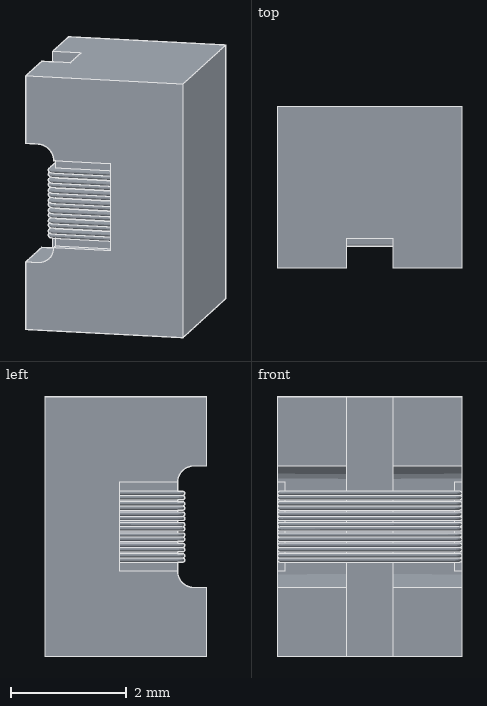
import cadquery as cq

WIDTH = 3.2
DEPTH = 2.8
HEIGHT = 4.5

RECESS_HEIGHT = 2.1
RECESS_DEPTH = 0.5
RECESS_RADIUS = 0.28

SLOT_WIDTH = 0.8
SLOT_DEPTH = 0.51

WINDOW_HEIGHT = RECESS_HEIGHT - 2 * RECESS_RADIUS
WINDOW_INSET = 0.13
WINDOW_BACK = 1.51

PAIR_COUNT = 7
PAIR_PITCH = 0.18
WIRE_THICKNESS = 0.075
WIRE_RISE = 0.125
BEAD_OFFSET = WIRE_RISE - WIRE_THICKNESS / 2


def make_core():
    """Block with the filleted recess, the terminal slot and the two side windows."""
    block = cq.Workplane("XY").box(WIDTH, DEPTH, HEIGHT).translate((0, DEPTH / 2, 0))
    recess = (
        cq.Workplane("XY")
        .box(WIDTH, 2 * RECESS_DEPTH, RECESS_HEIGHT)
        .edges("|X and >Y")
        .fillet(RECESS_RADIUS)
    )
    slot = cq.Workplane("XY").box(SLOT_WIDTH, 2 * SLOT_DEPTH, HEIGHT)
    core = block.cut(recess).cut(slot)
    for side in (-1, 1):
        window = cq.Workplane("XY").box(2 * WINDOW_INSET, WINDOW_BACK, WINDOW_HEIGHT)
        core = core.cut(window.translate((side * WIDTH / 2, WINDOW_BACK / 2, 0)))
    return core


def make_wire():
    """One U-shaped wire: a flat web on the middle leg, edged by a round bead."""
    bead_x = WIDTH / 2 - WINDOW_INSET + BEAD_OFFSET
    bead_y = RECESS_DEPTH - BEAD_OFFSET
    web = (
        cq.Workplane("XY")
        .box(2 * bead_x, WINDOW_BACK - bead_y, WIRE_THICKNESS)
        .translate((0, (WINDOW_BACK + bead_y) / 2, 0))
        .edges("|Z and <Y")
        .fillet(BEAD_OFFSET)
    )
    bead_path = (
        cq.Workplane("XY")
        .moveTo(-bead_x, WINDOW_BACK)
        .lineTo(-bead_x, bead_y + BEAD_OFFSET)
        .radiusArc((-bead_x + BEAD_OFFSET, bead_y), -BEAD_OFFSET)
        .lineTo(bead_x - BEAD_OFFSET, bead_y)
        .radiusArc((bead_x, bead_y + BEAD_OFFSET), -BEAD_OFFSET)
        .lineTo(bead_x, WINDOW_BACK)
    )
    bead = (
        cq.Workplane("XZ", origin=(-bead_x, WINDOW_BACK, 0))
        .circle(WIRE_THICKNESS / 2)
        .sweep(bead_path)
    )
    return web.union(bead)


def make_winding():
    """All the wires, in evenly spaced pairs centred on the recess."""
    wire = make_wire()
    wires = []
    for pair in range(PAIR_COUNT):
        pair_z = (pair - (PAIR_COUNT - 1) / 2) * PAIR_PITCH
        for side in (-1, 1):
            wires.append(wire.translate((0, 0, pair_z + side * WIRE_THICKNESS / 2)))
    return wires


result = make_core()
for turn in make_winding():
    result = result.union(turn)